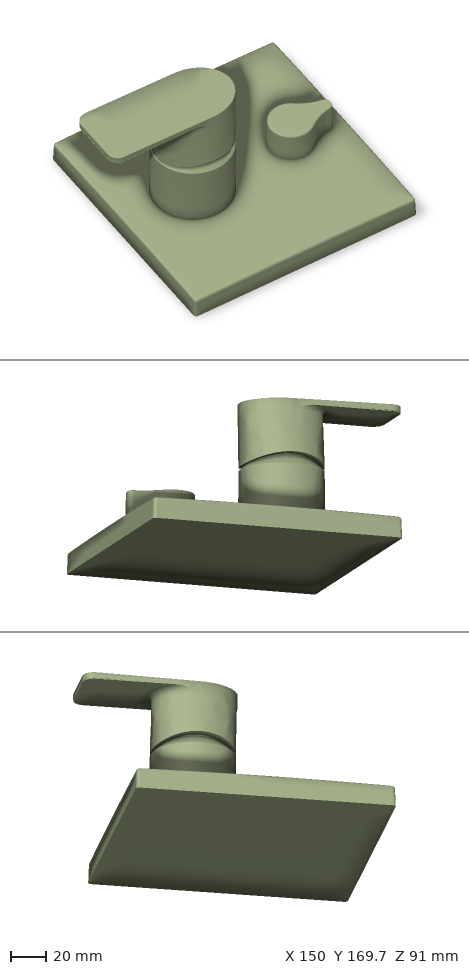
import cadquery as cq
import math

OVERALL_DEPTH = 169.69

PLATE_SIDE = 150.0
PLATE_CORNER_RADIUS = 2.0
PLATE_DRAFT = 2.0
PLATE_CROWN_Z = 14.0
PLATE_EDGE_Z = 13.2
PLATE_EDGE_FILLET = 1.6

BODY_Y = -28.3
BASE_FOOT_RADIUS = 24.7
BASE_RADIUS = 24.5
BASE_TOP_Z = 51.1
NECK_HEIGHT = 6.0
BODY_HALF_WIDTH = 24.4
BODY_FOOT_Z = 52.0
ARCH_CREST_Z = 58.0
ARCH_FOOT_Z = 53.0

LEVER_HALF_WIDTH = 20.6
LEVER_BACK_Y = -27.4
LEVER_BACK_RADIUS = 24.6
LEVER_FRONT_Y = PLATE_SIDE / 2 - OVERALL_DEPTH
LEVER_CORNER_RADIUS = 7.0
LEVER_TOP_BACK_Z = 89.4
LEVER_TOP_FRONT_Z = 91.01
LEVER_UNDER_BACK_Z = 86.8
LEVER_UNDER_FRONT_Z = 87.4
LEVER_EDGE_FILLET = 0.4
FLARE_RADIUS = 2.5

MARK_RADIUS = 4.4
MARK_Z = 63.1
MARK_DEPTH = 0.2

KNOB_Y = 38.1
KNOB_RADIUS = 14.0
KNOB_TIP_Y = 65.2
KNOB_FLANK_START_Y = 46.7
KNOB_FLANK_END = (4.4, 62.1)
KNOB_BOTTOM_Z = 14.6
KNOB_TOP_Z = 32.9
KNOB_DRAFT = 1.2
KNOB_EDGE_FILLET = 1.0
COLLAR_RADIUS = 13.0

OVERLAP = 2.0


def make_plate():
    half = PLATE_SIDE / 2
    rise = PLATE_CROWN_Z - PLATE_EDGE_Z
    dome_radius = (half ** 2 + rise ** 2) / (2 * rise)
    block = (
        cq.Workplane("XY")
        .rect(PLATE_SIDE, PLATE_SIDE)
        .extrude(PLATE_CROWN_Z + OVERLAP, taper=PLATE_DRAFT)
        .edges("not (|X or |Y)")
        .fillet(PLATE_CORNER_RADIUS)
    )
    dome = (
        cq.Workplane("XY")
        .sphere(dome_radius, direct=(1, 0, 0))
        .rotate((0, 0, 0), (1, 0, 0), 90)
        .translate((0, 0, PLATE_CROWN_Z - dome_radius))
    )
    plate = block.intersect(dome)
    return plate.faces(">Z").edges().fillet(PLATE_EDGE_FILLET)


def make_base():
    neck_top_radius = BASE_RADIUS - NECK_HEIGHT
    neck_top_z = BASE_TOP_Z + NECK_HEIGHT
    profile = (
        cq.Workplane("XZ")
        .moveTo(0, PLATE_EDGE_Z - OVERLAP)
        .lineTo(BASE_FOOT_RADIUS, PLATE_EDGE_Z - OVERLAP)
        .lineTo(BASE_RADIUS, BASE_TOP_Z)
        .lineTo(neck_top_radius, neck_top_z)
        .lineTo(neck_top_radius, ARCH_CREST_Z + OVERLAP)
        .lineTo(0, ARCH_CREST_Z + OVERLAP)
        .close()
    )
    return profile.revolve().translate((0, BODY_Y, 0))


def make_tapered_body():
    """Loft from the wide foot up to the elliptical back end of the lever."""
    return (
        cq.Workplane("XY", origin=(0, BODY_Y, BODY_FOOT_Z))
        .ellipse(BODY_HALF_WIDTH, BASE_RADIUS)
        .workplane(offset=LEVER_TOP_BACK_Z - BODY_FOOT_Z)
        .center(0, LEVER_BACK_Y - BODY_Y)
        .ellipse(LEVER_HALF_WIDTH, LEVER_BACK_RADIUS)
        .loft()
    )


def make_arch_cutter():
    """Cylinder along X that hollows the underside of the upper body."""
    rise = ARCH_CREST_Z - ARCH_FOOT_Z
    radius = (BASE_RADIUS ** 2 + rise ** 2) / (2 * rise)
    return (
        cq.Workplane("YZ", origin=(0, BODY_Y, ARCH_CREST_Z - radius))
        .circle(radius)
        .extrude(PLATE_SIDE / 2, both=True)
    )


def make_mark_cutter(body):
    """Shallow round recess that follows the front surface of the body."""
    rod = (
        cq.Workplane("XZ", origin=(0, BODY_Y, MARK_Z))
        .circle(MARK_RADIUS)
        .extrude(PLATE_SIDE / 2)
    )
    return rod.cut(body.translate((0, MARK_DEPTH, 0)))


def make_lever_prism(bottom_z, top_z):
    return (
        cq.Workplane("XY", origin=(0, LEVER_BACK_Y, bottom_z))
        .moveTo(LEVER_HALF_WIDTH, 0)
        .ellipseArc(LEVER_HALF_WIDTH, LEVER_BACK_RADIUS, 0, 180, startAtCurrent=True)
        .lineTo(-LEVER_HALF_WIDTH, LEVER_FRONT_Y - LEVER_BACK_Y)
        .lineTo(LEVER_HALF_WIDTH, LEVER_FRONT_Y - LEVER_BACK_Y)
        .close()
        .extrude(top_z - bottom_z)
        .edges("|Z and <Y")
        .fillet(LEVER_CORNER_RADIUS)
    )


def make_lever():
    back_y = LEVER_BACK_Y + LEVER_BACK_RADIUS
    wedge = (
        cq.Workplane("YZ")
        .moveTo(LEVER_FRONT_Y, LEVER_UNDER_FRONT_Z)
        .lineTo(back_y, LEVER_UNDER_BACK_Z)
        .lineTo(back_y, LEVER_TOP_BACK_Z)
        .lineTo(LEVER_FRONT_Y, LEVER_TOP_FRONT_Z)
        .close()
        .extrude(PLATE_SIDE / 2, both=True)
    )
    prism = make_lever_prism(BODY_FOOT_Z, LEVER_TOP_FRONT_Z + OVERLAP)
    return prism.intersect(wedge).faces(">Z").edges().fillet(LEVER_EDGE_FILLET)


def make_flare(body):
    """Concave blend between the body and the lever, kept within the lever outline."""
    slab_bottom_z = LEVER_UNDER_BACK_Z
    slab = (
        cq.Workplane("XY", origin=(0, BODY_Y, slab_bottom_z))
        .rect(PLATE_SIDE, PLATE_SIDE)
        .extrude(LEVER_TOP_FRONT_Z - slab_bottom_z)
    )
    blended = (
        body.union(slab)
        .faces("<Z[-2]").edges("%ELLIPSE or %BSPLINE")
        .fillet(FLARE_RADIUS)
    )
    flare_prism = make_lever_prism(slab_bottom_z - 2 * FLARE_RADIUS, slab_bottom_z + LEVER_EDGE_FILLET)
    return blended.intersect(flare_prism)


def make_knob_outline():
    start_angle = math.asin((KNOB_FLANK_START_Y - KNOB_Y) / KNOB_RADIUS)
    start_x = KNOB_RADIUS * math.cos(start_angle)
    end_x, end_y = KNOB_FLANK_END
    chord_angle = math.atan2(start_x - end_x, end_y - KNOB_FLANK_START_Y)
    end_angle = 2 * chord_angle - start_angle
    flat_x = end_x - (KNOB_TIP_Y - end_y) * math.tan(math.pi / 4 + end_angle / 2)
    return (
        cq.Workplane("XY", origin=(0, 0, KNOB_BOTTOM_Z))
        .moveTo(-start_x, KNOB_FLANK_START_Y)
        .threePointArc((0, KNOB_Y - KNOB_RADIUS), (start_x, KNOB_FLANK_START_Y))
        .tangentArcPoint(KNOB_FLANK_END, relative=False)
        .tangentArcPoint((flat_x, KNOB_TIP_Y), relative=False)
        .lineTo(-flat_x, KNOB_TIP_Y)
        .tangentArcPoint((-end_x, end_y), relative=False)
        .tangentArcPoint((-start_x, KNOB_FLANK_START_Y), relative=False)
        .close()
    )


def make_knob():
    knob = make_knob_outline().extrude(KNOB_TOP_Z - KNOB_BOTTOM_Z, taper=KNOB_DRAFT)
    knob = knob.faces(">Z").edges().fillet(KNOB_EDGE_FILLET)
    collar_bottom_z = PLATE_EDGE_Z - OVERLAP
    collar = (
        cq.Workplane("XY", origin=(0, KNOB_Y, collar_bottom_z))
        .circle(COLLAR_RADIUS)
        .extrude(KNOB_BOTTOM_Z - collar_bottom_z)
    )
    return knob.union(collar)


tapered_body = make_tapered_body()
upper_body = (
    tapered_body
    .union(make_flare(tapered_body))
    .union(make_lever())
    .cut(make_arch_cutter())
    .cut(make_mark_cutter(tapered_body))
)

result = make_plate().union(make_base()).union(upper_body).union(make_knob())